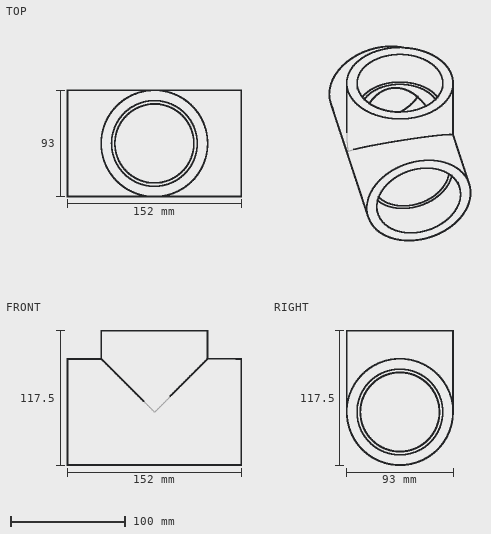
import cadquery as cq

run_length = 152.0
branch_height = 71.0
outer_diameter = 93.0
bore_diameter = 69.0
socket_diameter = 75.0
socket_depth = 32.5


def run_cylinder(diameter):
    """Full-length cylinder along the run."""
    return cq.Workplane("YZ").circle(diameter / 2).extrude(run_length / 2, both=True)


def branch_cylinder(diameter):
    """Cylinder from the run axis to the branch mouth."""
    return cq.Workplane("XY").circle(diameter / 2).extrude(branch_height)


def socket(mouth, inward):
    """Cylinder entering from the mouth point along the inward direction."""
    plane = cq.Plane(origin=mouth, normal=inward)
    return cq.Workplane(plane).circle(socket_diameter / 2).extrude(socket_depth)


body = run_cylinder(outer_diameter).union(branch_cylinder(outer_diameter))
bores = run_cylinder(bore_diameter).union(branch_cylinder(bore_diameter))
result = body.cut(bores)

for side in (-1, 1):
    result = result.cut(socket((side * run_length / 2, 0, 0), (-side, 0, 0)))
result = result.cut(socket((0, 0, branch_height), (0, 0, -1)))